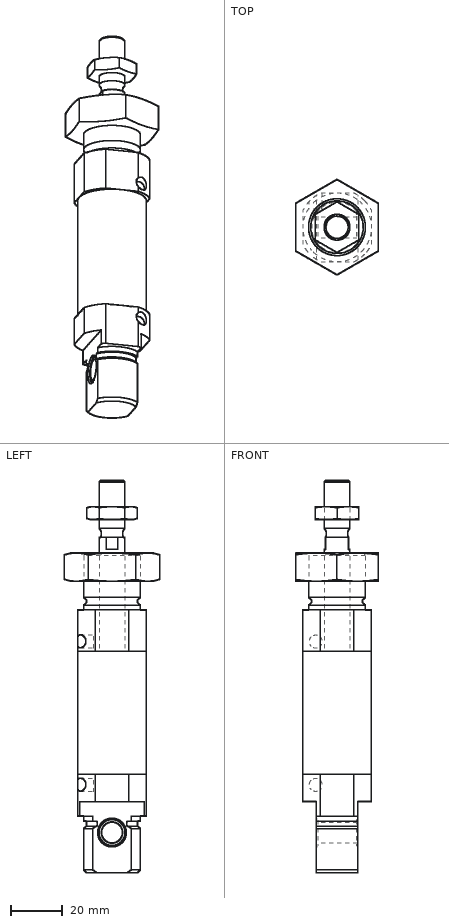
import cadquery as cq
import math

CLEVIS_FOOT_CHAMFER = 1.2
CROSS_HOLE_Z = 15.6
REAR_GROOVE_BOTTOM = 17.1
REAR_GROOVE_ARC_BOTTOM = 18.0
REAR_GROOVE_FLOOR_BOTTOM = 18.5
REAR_GROOVE_FLOOR_TOP = 19.4
REAR_GROOVE_TOP = 20.0
REAR_CAP_BOTTOM = 22.0
CLEVIS_SHOULDER = 27.5
REAR_PORT_Z = 34.1
REAR_CAP_TOP = 38.2
HEAD_CAP_BOTTOM = 85.6
HEAD_PORT_Z = 89.4
HEAD_CAP_TOP = 101.5
HEAD_GROOVE_BOTTOM = 103.3
HEAD_GROOVE_ARC_BOTTOM = 104.2
HEAD_GROOVE_FLOOR_BOTTOM = 104.7
HEAD_GROOVE_FLOOR_TOP = 105.0
HEAD_GROOVE_ARC_TOP = 105.5
HEAD_GROOVE_TOP = 106.4
LOCK_NUT_BOTTOM = 112.5
LOCK_NUT_TOP = 123.5
WRENCH_FLAT_BOTTOM = 124.8
ROD_SHOULDER = 129.5
UNDERCUT_FLOOR_BOTTOM = 130.5
UNDERCUT_FLOOR_TOP = 131.2
THREAD_BOTTOM = 133.0
ROD_NUT_BOTTOM = 136.4
ROD_NUT_TOP = 141.3
ROD_TOP = 151.5

TUBE_DIAMETER = 26.5
CAP_DIAMETER = 29.5
CAP_ACROSS_FLATS = 26.5
NECK_DIAMETER = 22.0
GROOVE_DIAMETER = 19.7
GROOVE_ARC_DIAMETER = 20.0
NECK_FACE_DIAMETER = 20.3
CLEVIS_WIDTH = 16.0
CROSS_HOLE_DIAMETER = 8.0
COUNTERBORE_DIAMETER = 10.0
COUNTERBORE_MOUTH_DIAMETER = 11.0
COUNTERBORE_DEPTH = 0.6
PORT_DIAMETER = 5.0
PORT_DEPTH = 6.0
PORT_X = -8.3

ROD_DIAMETER = 10.0
ROD_TIP_DIAMETER = 8.6
UNDERCUT_DIAMETER = 8.3
UNDERCUT_FOOT_DIAMETER = 9.0
ROD_ACROSS_FLATS = 9.0

LOCK_NUT_ACROSS_FLATS = 32.0
LOCK_NUT_FACE_DIAMETER = 31.7
ROD_NUT_ACROSS_FLATS = 17.0
ROD_NUT_FACE_DIAMETER = 16.5
NUT_CHAMFER_ANGLE = 15.0


def turned(profile):
    """Solid of revolution about Z from (diameter, height) points, closed along the axis."""
    points = [(diameter / 2, height) for diameter, height in profile]
    points = [(0, profile[0][1])] + points + [(0, profile[-1][1])]
    return cq.Workplane("XZ").polyline(points).close().revolve(360, (0, 0), (0, 1))


def cylinder(diameter, bottom, top):
    return turned([(diameter, bottom), (diameter, top)])


def square_bar(width, bottom, top):
    return cq.Workplane("XY").workplane(offset=bottom).rect(width, width).extrude(top - bottom)


def end_cap(bottom, top):
    """Round cap with four flats."""
    return cylinder(CAP_DIAMETER, bottom, top).intersect(square_bar(CAP_ACROSS_FLATS, bottom, top))


def shallow_arc_middle(floor_radius, floor_height, end_radius, end_height):
    """Middle point of a fillet arc that leaves a groove floor tangentially.

    Halfway along such a shallow arc, a quarter of its rise is reached.
    """
    return (floor_radius + (end_radius - floor_radius) / 4, (floor_height + end_height) / 2)


def neck_groove(bottom, arc_bottom, floor_bottom, floor_top, arc_top, top):
    """Ring to cut from a neck: straight sides that run into the floor through fillets."""
    outer = NECK_DIAMETER / 2
    arc_end = GROOVE_ARC_DIAMETER / 2
    floor = GROOVE_DIAMETER / 2
    return (
        cq.Workplane("XZ").moveTo(outer, bottom)
        .lineTo(arc_end, arc_bottom)
        .threePointArc(shallow_arc_middle(floor, floor_bottom, arc_end, arc_bottom), (floor, floor_bottom))
        .lineTo(floor, floor_top)
        .threePointArc(shallow_arc_middle(floor, floor_top, arc_end, arc_top), (arc_end, arc_top))
        .lineTo(outer, top)
        .close()
        .revolve(360, (0, 0), (0, 1))
    )


def head_neck():
    """Threaded neck with an undercut, on top of the head cap."""
    face_chamfer = (NECK_DIAMETER - NECK_FACE_DIAMETER) / 2
    neck = turned([
        (NECK_DIAMETER, HEAD_CAP_BOTTOM),
        (NECK_DIAMETER, LOCK_NUT_TOP - face_chamfer),
        (NECK_FACE_DIAMETER, LOCK_NUT_TOP),
    ])
    return neck.cut(neck_groove(
        HEAD_GROOVE_BOTTOM, HEAD_GROOVE_ARC_BOTTOM, HEAD_GROOVE_FLOOR_BOTTOM,
        HEAD_GROOVE_FLOOR_TOP, HEAD_GROOVE_ARC_TOP, HEAD_GROOVE_TOP))


def rear_neck():
    """Neck below the rear cap, from which the clevis eye is cut; its groove ends in a flat shoulder."""
    neck = turned([
        (NECK_DIAMETER - 2 * CLEVIS_FOOT_CHAMFER, 0),
        (NECK_DIAMETER, CLEVIS_FOOT_CHAMFER),
        (NECK_DIAMETER, REAR_CAP_TOP),
    ])
    return neck.cut(neck_groove(
        REAR_GROOVE_BOTTOM, REAR_GROOVE_ARC_BOTTOM, REAR_GROOVE_FLOOR_BOTTOM,
        REAR_GROOVE_FLOOR_TOP, REAR_GROOVE_TOP, REAR_GROOVE_TOP))


def clevis_side_cuts():
    """Material removed on both sides to leave the flat eye."""
    bar = square_bar(2 * CAP_DIAMETER, 0, CLEVIS_SHOULDER)
    eye = cq.Workplane("XY").rect(CLEVIS_WIDTH, 2 * CAP_DIAMETER).extrude(CLEVIS_SHOULDER)
    return bar.cut(eye)


def cross_hole():
    """Pin hole along X with a tapered counterbore at both mouths."""
    half_width = CLEVIS_WIDTH / 2
    seat = half_width - COUNTERBORE_DEPTH
    hole = turned([
        (COUNTERBORE_MOUTH_DIAMETER, -half_width),
        (COUNTERBORE_DIAMETER, -seat),
        (CROSS_HOLE_DIAMETER, -seat),
        (CROSS_HOLE_DIAMETER, seat),
        (COUNTERBORE_DIAMETER, seat),
        (COUNTERBORE_MOUTH_DIAMETER, half_width),
    ])
    return hole.rotate((0, 0, 0), (0, 1, 0), 90).translate((0, 0, CROSS_HOLE_Z))


def port(height):
    """Blind air port parallel to Y, beside the +Y flat."""
    hole = cylinder(PORT_DIAMETER, 0, PORT_DEPTH).rotate((0, 0, 0), (1, 0, 0), 90)
    return hole.translate((PORT_X, CAP_ACROSS_FLATS / 2, height))


def make_housing():
    tube = cylinder(TUBE_DIAMETER, REAR_CAP_TOP, HEAD_CAP_BOTTOM)
    body = tube.union(end_cap(REAR_CAP_BOTTOM, REAR_CAP_TOP)).union(rear_neck())
    body = body.union(end_cap(HEAD_CAP_BOTTOM, HEAD_CAP_TOP)).union(head_neck())
    body = body.cut(clevis_side_cuts()).cut(cross_hole())
    for height in (REAR_PORT_Z, HEAD_PORT_Z):
        body = body.cut(port(height))
    return body.cut(cylinder(ROD_DIAMETER, HEAD_CAP_BOTTOM, LOCK_NUT_TOP))


def make_rod():
    """Piston rod with wrench flats, an undercut and a threaded tip."""
    tip_chamfer = (ROD_DIAMETER - ROD_TIP_DIAMETER) / 2
    thread_radius = ROD_DIAMETER / 2
    floor_radius = UNDERCUT_DIAMETER / 2
    foot_radius = UNDERCUT_FOOT_DIAMETER / 2
    rod = turned([
        (ROD_DIAMETER, HEAD_CAP_BOTTOM),
        (ROD_DIAMETER, ROD_TOP - tip_chamfer),
        (ROD_TIP_DIAMETER, ROD_TOP),
    ])
    undercut = (
        cq.Workplane("XZ").moveTo(thread_radius, ROD_SHOULDER)
        .lineTo(foot_radius, ROD_SHOULDER)
        .threePointArc(
            shallow_arc_middle(floor_radius, UNDERCUT_FLOOR_BOTTOM, foot_radius, ROD_SHOULDER),
            (floor_radius, UNDERCUT_FLOOR_BOTTOM))
        .lineTo(floor_radius, UNDERCUT_FLOOR_TOP)
        .threePointArc(
            shallow_arc_middle(floor_radius, UNDERCUT_FLOOR_TOP, thread_radius, THREAD_BOTTOM),
            (thread_radius, THREAD_BOTTOM))
        .close()
        .revolve(360, (0, 0), (0, 1))
    )
    flat_height = ROD_SHOULDER - WRENCH_FLAT_BOTTOM
    between_flats = (
        cq.Workplane("XY").workplane(offset=WRENCH_FLAT_BOTTOM)
        .rect(ROD_ACROSS_FLATS, 2 * ROD_DIAMETER).extrude(flat_height)
    )
    beside_flats = cylinder(ROD_DIAMETER, WRENCH_FLAT_BOTTOM, ROD_SHOULDER).cut(between_flats)
    return rod.cut(undercut).cut(beside_flats)


def make_nut(across_flats, face_diameter, bore, bottom, top):
    """Hex nut with flats facing +X and -X and both faces chamfered."""
    across_corners = across_flats / math.cos(math.radians(30))
    drop = (across_corners - face_diameter) / 2 * math.tan(math.radians(NUT_CHAMFER_ANGLE))
    hexagon = (
        cq.Workplane("XY").workplane(offset=bottom)
        .polygon(6, across_corners).extrude(top - bottom)
        .rotate((0, 0, 0), (0, 0, 1), 30)
    )
    chamfered = turned([
        (face_diameter, bottom),
        (across_corners, bottom + drop),
        (across_corners, top - drop),
        (face_diameter, top),
    ])
    return hexagon.intersect(chamfered).cut(cylinder(bore, bottom, top))


housing = make_housing()
rod = make_rod()
lock_nut = make_nut(
    LOCK_NUT_ACROSS_FLATS, LOCK_NUT_FACE_DIAMETER, NECK_DIAMETER, LOCK_NUT_BOTTOM, LOCK_NUT_TOP)
rod_nut = make_nut(
    ROD_NUT_ACROSS_FLATS, ROD_NUT_FACE_DIAMETER, ROD_DIAMETER, ROD_NUT_BOTTOM, ROD_NUT_TOP)

result = cq.Compound.makeCompound([housing.val(), rod.val(), lock_nut.val(), rod_nut.val()])